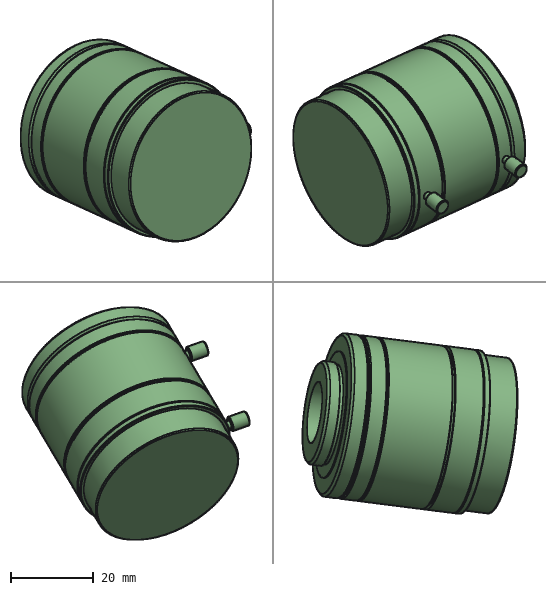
import cadquery as cq

total_length = 46.0
total_width = 46.25

body_diameter = 40.0
mount_diameter = 25.4
mount_neck_diameter = 24.6
shoulder_diameter = 31.0
front_barrel_diameter = 38.1
groove_diameter = 38.2
bore_diameter = 15.0

mount_thread_end = 3.15
shoulder_start = 4.02
body_start = 4.3
body_end = 38.9

mount_chamfer_length = 0.7
mount_chamfer_depth = 0.55
body_chamfer = 0.65
edge_chamfer = 0.2
front_chamfer = 0.32

sloped_groove_start = 8.15
sloped_groove_floor_start = 8.65
sloped_groove_end = 8.85
sloped_groove_chamfer = 0.32
rear_groove_start = 13.05
rear_groove_end = 13.35
focus_groove_start = 29.55
focus_groove_end = 30.25
front_groove_start = 37.25
front_groove_end = 37.4

bore_depth = 15.0

screw_positions = (10.85, 34.95)
screw_stem_diameter = 2.0
screw_head_diameter = 3.7
screw_head_length = 4.62
screw_head_chamfer = 0.25
screw_embed_depth = 1.85

body_radius = body_diameter / 2


def cylinder(start, end, diameter):
    """Solid cylinder on the lens axis."""
    return cq.Workplane("YZ", origin=(start, 0, 0)).circle(diameter / 2).extrude(end - start)


def revolve_profile(points):
    """Revolve (axial position, radius) points about the lens axis."""
    return cq.Workplane("XY").polyline(points).close().revolve(360, (0, 0, 0), (1, 0, 0))


def make_mount():
    """Threaded mount with its neck and the low shoulder behind it."""
    radius = mount_diameter / 2
    thread = revolve_profile([
        (0, 0),
        (0, radius - mount_chamfer_depth),
        (mount_chamfer_length, radius),
        (mount_thread_end, radius),
        (mount_thread_end, 0),
    ])
    neck = cylinder(mount_thread_end, shoulder_start, mount_neck_diameter)
    shoulder = cylinder(shoulder_start, body_start, shoulder_diameter)
    return thread.union(neck).union(shoulder)


def make_body():
    """Main barrel with chamfered ends."""
    body = cylinder(body_start, body_end, body_diameter)
    body = body.faces("<X").chamfer(body_chamfer)
    return body.faces(">X").chamfer(edge_chamfer)


def groove_cutter(start, end, rear_rim_chamfer, front_rim_chamfer):
    """Ring groove whose two rims carry separate chamfers; zero leaves a rim sharp."""
    floor_radius = groove_diameter / 2
    outside = body_radius + 0.45
    points = [(start, floor_radius), (end, floor_radius)]
    if front_rim_chamfer:
        points.append((end, body_radius - front_rim_chamfer))
    points.append((end + front_rim_chamfer, body_radius))
    points.append((end + front_rim_chamfer, outside))
    points.append((start - rear_rim_chamfer, outside))
    points.append((start - rear_rim_chamfer, body_radius))
    if rear_rim_chamfer:
        points.append((start, body_radius - rear_rim_chamfer))
    return revolve_profile(points)


def make_screw(position):
    """Locking screw with a chamfered head, rooted in the body."""
    head_start = total_width - body_radius - screw_head_length
    stem_start = body_radius - screw_embed_depth
    head = (
        cq.Workplane("XZ", origin=(position, head_start, 0))
        .circle(screw_head_diameter / 2)
        .extrude(-screw_head_length)
        .faces("<Y or >Y")
        .chamfer(screw_head_chamfer)
    )
    stem = (
        cq.Workplane("XZ", origin=(position, stem_start, 0))
        .circle(screw_stem_diameter / 2)
        .extrude(stem_start - head_start)
    )
    return head.union(stem)


front_barrel = cylinder(body_end, total_length, front_barrel_diameter)
front_barrel = front_barrel.faces(">X").chamfer(front_chamfer)

result = make_mount().union(make_body()).union(front_barrel)

sloped_groove_depth = sloped_groove_floor_start - sloped_groove_start
grooves = (
    (sloped_groove_floor_start, sloped_groove_end, sloped_groove_depth, sloped_groove_chamfer),
    (rear_groove_start, rear_groove_end, edge_chamfer, edge_chamfer),
    (focus_groove_start, focus_groove_end, edge_chamfer, 0),
    (front_groove_start, front_groove_end, edge_chamfer / 2, edge_chamfer / 2),
)
for start, end, rear_rim_chamfer, front_rim_chamfer in grooves:
    result = result.cut(groove_cutter(start, end, rear_rim_chamfer, front_rim_chamfer))

result = result.cut(cylinder(0, bore_depth, bore_diameter))

for position in screw_positions:
    result = result.union(make_screw(position))